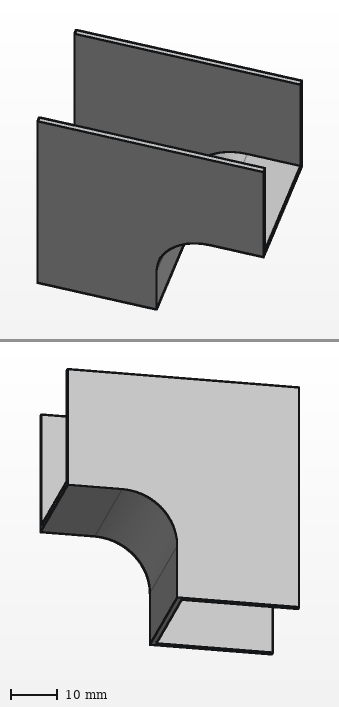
import cadquery as cq

side = 50.5
depth = 28.0
wall = 1.2
leg_width = 26.6
corner_radius = 12.0


def elbow(width, radius, length):
    """L-shaped block with a rounded inside corner, extruded towards +Y from Y = 0."""
    bend = width + radius
    top_z = side
    return (
        cq.Workplane("XZ")
        .moveTo(0, 0)
        .lineTo(width, 0)
        .lineTo(width, top_z - bend)
        .radiusArc((bend, top_z - width), radius)
        .lineTo(side, top_z - width)
        .lineTo(side, top_z)
        .lineTo(0, top_z)
        .close()
        .extrude(-length)
    )


body = elbow(leg_width, corner_radius, depth)
channel = elbow(leg_width - wall, corner_radius + wall, depth - 2 * wall)
result = body.cut(channel.translate((0, wall, 0)))